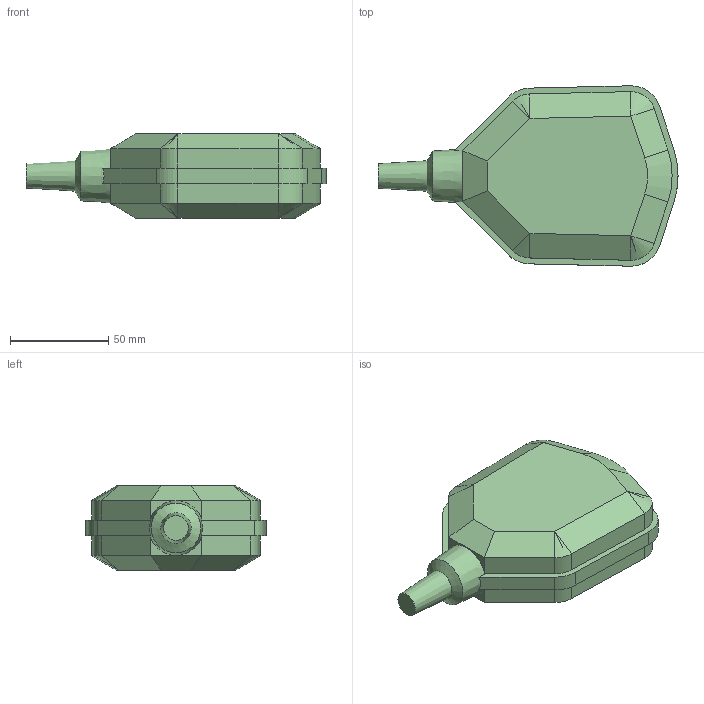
import cadquery as cq
import math

half_height = 21.5
wall_half_height = 14.0
bevel_run = 12.5
case_length = 106.7
front_half_width = 12.8
diagonal_angle = math.radians(45)

shoulder_x = 34.2
rear_corner = (85.7, 30.5)
rear_radius = 42.0

rim_half_height = 4.0
rim_overhang = 3.0
rim_front_x = -6.0

collar_rear_radius = 13.8
collar_front_radius = 12.7
collar_front_x = -15.4
collar_nose_x = -18.3
sleeve_rear_radius = 7.75
sleeve_tip_radius = 6.25
sleeve_tip_x = -43.3

diagonal_normal = math.pi - diagonal_angle
diagonal_slope = math.tan(diagonal_angle)
shoulder_y = front_half_width + shoulder_x * diagonal_slope - bevel_run / math.cos(diagonal_angle)
shoulder = (shoulder_x, shoulder_y)
side_slope = math.atan2(rear_corner[1] - shoulder_y, rear_corner[0] - shoulder_x)
side_normal = math.pi / 2 + side_slope

rear_center_x = case_length - rear_radius
to_corner_x = rear_corner[0] - rear_center_x
rear_normal = math.atan2(rear_corner[1], to_corner_x) - math.acos(
    (rear_radius - bevel_run) / math.hypot(to_corner_x, rear_corner[1])
)


def polar(center, radius, angle):
    return (center[0] + radius * math.cos(angle), center[1] + radius * math.sin(angle))


def mirrored(point):
    return (point[0], -point[1])


def outline(offset, front_x, base_z):
    """Closed outline lying the given offset outside the flat face."""
    diagonal_end = polar(shoulder, offset, diagonal_normal)
    front = (front_x, diagonal_end[1] - (diagonal_end[0] - front_x) * diagonal_slope)
    side_start = polar(shoulder, offset, side_normal)
    side_end = polar(rear_corner, offset, side_normal)
    rear_start = polar(rear_corner, offset, rear_normal)
    shoulder_mid = polar(shoulder, offset, (diagonal_normal + side_normal) / 2)
    rear_corner_mid = polar(rear_corner, offset, (side_normal + rear_normal) / 2)
    bow_radius = rear_radius - bevel_run + offset
    bow_start = polar((rear_center_x, 0), bow_radius, rear_normal)
    bow_mid = (rear_center_x + bow_radius, 0)
    return (
        cq.Workplane("XY", origin=(0, 0, base_z))
        .moveTo(*front)
        .lineTo(*diagonal_end)
        .threePointArc(shoulder_mid, side_start)
        .lineTo(*side_end)
        .threePointArc(rear_corner_mid, rear_start)
        .lineTo(*bow_start)
        .threePointArc(bow_mid, mirrored(bow_start))
        .lineTo(*mirrored(rear_start))
        .threePointArc(mirrored(rear_corner_mid), mirrored(side_end))
        .lineTo(*mirrored(side_start))
        .threePointArc(mirrored(shoulder_mid), mirrored(diagonal_end))
        .lineTo(*mirrored(front))
        .close()
    )


def make_case():
    bevel_height = half_height - wall_half_height
    bevel_angle = math.degrees(math.atan2(bevel_run, bevel_height))
    walls = outline(bevel_run, 0, -wall_half_height).extrude(2 * wall_half_height)
    bevel = outline(bevel_run, 0, wall_half_height).extrude(bevel_height, taper=bevel_angle)
    return walls.union(bevel).union(bevel.mirror("XY"))


def make_rim():
    rim_offset = bevel_run + rim_overhang
    return outline(rim_offset, rim_front_x, -rim_half_height).extrude(2 * rim_half_height)


def make_gland():
    profile = [
        (0, 0),
        (0, collar_rear_radius),
        (collar_front_x, collar_front_radius),
        (collar_nose_x, sleeve_rear_radius),
        (sleeve_tip_x, sleeve_tip_radius),
        (sleeve_tip_x, 0),
    ]
    return cq.Workplane("XY").polyline(profile).close().revolve(360, (0, 0, 0), (1, 0, 0))


result = make_case().union(make_rim()).union(make_gland())